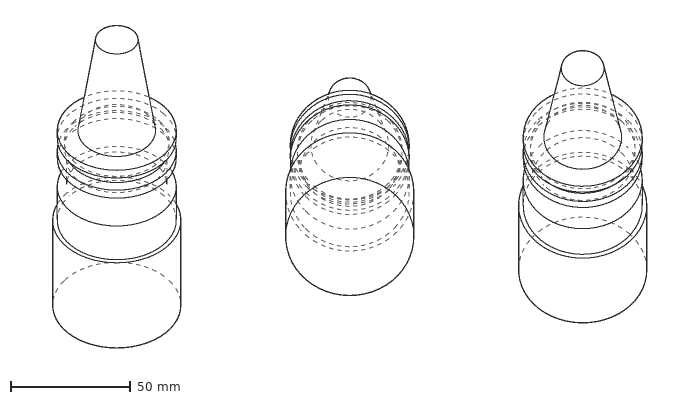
import cadquery as cq

total_height = 149.8
body_top = 48.1
collar_top = 67.1
flange_bottom = 82.8
flange_top = 98.5

body_diameter = 54.0
collar_diameter = 50.0
neck_diameter = 42.1
flange_diameter = 50.0
groove_diameter = 44.0
taper_large_diameter = 32.7
taper_small_diameter = 18.0

groove_rim_bottom = 87.3
groove_floor_bottom = 89.0
groove_floor_top = 92.5
groove_rim_top = 94.2

neck_fillet = 0.7


def cylinder(diameter, bottom, top):
    """Upright cylinder on the Z axis between two heights."""
    return cq.Workplane("XY").workplane(offset=bottom).circle(diameter / 2).extrude(top - bottom)


def turned(profile):
    """Solid of revolution about Z from (radius, height) points."""
    return cq.Workplane("XZ").polyline(profile).close().revolve(360, (0, 0), (0, 1))


def make_neck():
    """Neck that flares through a concave fillet into the collar and the flange."""
    radius = neck_diameter / 2
    flare_radius = radius + neck_fillet
    arc_offset = neck_fillet * (1 - 0.5 ** 0.5)
    return (
        cq.Workplane("XZ")
        .moveTo(0, collar_top)
        .lineTo(flare_radius, collar_top)
        .threePointArc(
            (radius + arc_offset, collar_top + arc_offset),
            (radius, collar_top + neck_fillet),
        )
        .lineTo(radius, flange_bottom - neck_fillet)
        .threePointArc(
            (radius + arc_offset, flange_bottom - arc_offset),
            (flare_radius, flange_bottom),
        )
        .lineTo(0, flange_bottom)
        .close()
        .revolve(360, (0, 0), (0, 1))
    )


def make_flange():
    """Gripper flange with its sloped-sided groove."""
    rim_radius = flange_diameter / 2
    floor_radius = groove_diameter / 2
    return turned([
        (0, flange_bottom),
        (rim_radius, flange_bottom),
        (rim_radius, groove_rim_bottom),
        (floor_radius, groove_floor_bottom),
        (floor_radius, groove_floor_top),
        (rim_radius, groove_rim_top),
        (rim_radius, flange_top),
        (0, flange_top),
    ])


def make_taper():
    """Conical shank rising from the flange."""
    return turned([
        (0, flange_top),
        (taper_large_diameter / 2, flange_top),
        (taper_small_diameter / 2, total_height),
        (0, total_height),
    ])


body = cylinder(body_diameter, 0, body_top)
collar = cylinder(collar_diameter, body_top, collar_top)
result = body.union(collar).union(make_neck()).union(make_flange()).union(make_taper())